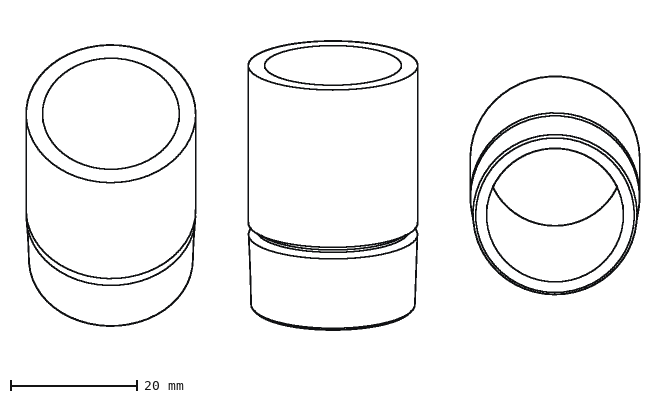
import cadquery as cq

length = 40.0
outer_radius = 13.45
bore_radius = 10.85

groove_top = 13.95
groove_bottom = 12.05
groove_floor_radius = 12.1
groove_floor_top = 13.1
groove_floor_bottom = 12.7

taper_top_radius = 13.4
taper_end_radius = 13.0
chamfer = 0.45

wall_section = [
    (bore_radius, 0),
    (taper_end_radius - chamfer, 0),
    (taper_end_radius, chamfer),
    (taper_top_radius, groove_bottom),
    (groove_floor_radius, groove_floor_bottom),
    (groove_floor_radius, groove_floor_top),
    (outer_radius, groove_top),
    (outer_radius, length),
    (bore_radius, length),
]

result = cq.Workplane("XZ").polyline(wall_section).close().revolve(360, (0, 0, 0), (0, 1, 0))